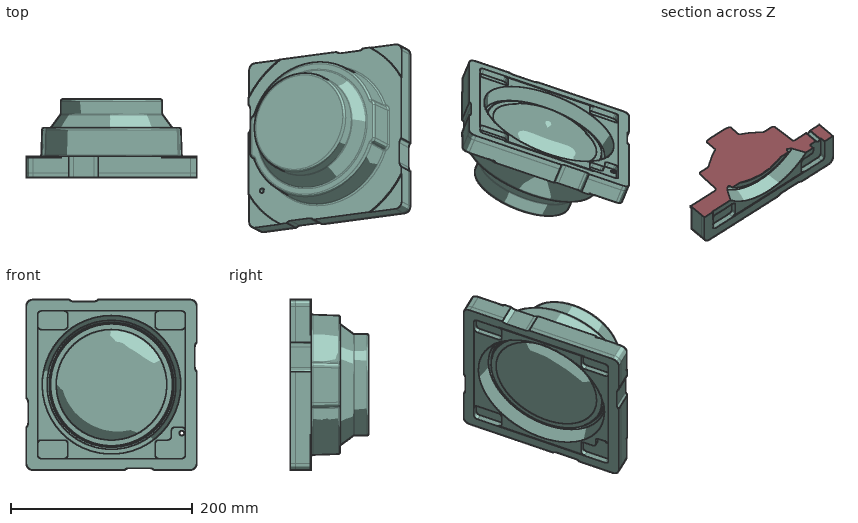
import cadquery as cq
import math


PLATE_SIDE = 188.0
PLATE_THICK = 23.3
PLATE_CORNER_R = 7.5
CORNER_STEP = 1.3
PARTING_Y = 5.5
FRONT_DRAFT = 0.5
RAISED_PAD_R = 109.0

NOTCH_OFFSET = 30.6
NOTCH_FLOOR = 22.5
NOTCH_DEPTH = 2.0
NOTCH_ARC_R = 7.0

RECESS_SIDE = 162.5
RECESS_DEPTH = 0.8
POCKET_X = 33.3
POCKET_Z = 20.5
POCKET_DEPTH = 6.5
POCKET_CORNER_R = 4.1
TAB_X = 15.5
TAB_Z = 14.1
VENT_X = 77.5
VENT_Z = -53.2
VENT_D = 5.0

BORE_MOUTH_R = 76.3
BORE_END_R = 71.0
BORE_DEPTH = 15.6
GROOVE_OUTER_R = 68.8
GROOVE_INNER_R = 67.9
GROOVE_DEPTH = 18.5

LENS_RIM_R = 67.1
LENS_R = 60.9
LENS_RIM_Y = 14.0
LENS_CREST_R = 27.3
LENS_CREST_Y = 1.0
LENS_SHOULDER_R = 43.2
LENS_SHOULDER_Y = 3.5
LENS_CENTRE_Y = 5.5

DRUM_R = 77.5
DRUM_END = 55.0
DRAFT = 2.0
LUG_REACH = 77.6
LUG_HALF = 22.7
LUG_SIDE_ANGLE = 30.0
LUG_EDGE_R = 5.6
LUG_ROOT_R = 2.5
DRUM_END_FILLET = 2.5
DRUM_ROOT_FILLET = 1.9
CONE_R = 67.0
NECK_R = 56.0
NECK_START = 70.0
NECK_FILLET = 2.5
CONE_FILLET = 1.9
TOTAL_DEPTH = 86.6


def section(y):
    """Workplane facing +Y at depth y; its coordinates are (z, x)."""
    return cq.Workplane("ZX", origin=(0, y, 0))


def turned(profile):
    """Revolve a closed (y, radius) profile, drawn in the YZ plane, around the Y axis."""
    return profile.close().revolve(360, (0, 0, 0), (1, 0, 0))


def ring_at(y):
    """Selects the edges at depth y that go round the drum, cone or neck."""
    reach = LUG_REACH + 1.9
    margin = 0.2
    low_corner = (-reach, y - margin, -reach)
    high_corner = (reach, y + margin, reach)
    return cq.selectors.BoxSelector(low_corner, high_corner, boundingbox=True)


def notch_cutter():
    """Notch for the +Z side; its floor runs into the side through concave arcs."""
    sweep = math.acos(1 - NOTCH_DEPTH / NOTCH_ARC_R)
    floor_z = PLATE_SIDE / 2 - NOTCH_DEPTH
    side_z = PLATE_SIDE / 2
    half_floor = NOTCH_FLOOR / 2
    half_mouth = half_floor + NOTCH_ARC_R * math.sin(sweep)
    mid_x = half_floor + NOTCH_ARC_R * math.sin(sweep / 2)
    mid_z = floor_z + NOTCH_ARC_R * (1 - math.cos(sweep / 2))
    outline = (
        section(0)
        .moveTo(floor_z, -half_floor - NOTCH_OFFSET)
        .lineTo(floor_z, half_floor - NOTCH_OFFSET)
        .threePointArc((mid_z, mid_x - NOTCH_OFFSET), (side_z, half_mouth - NOTCH_OFFSET))
        .lineTo(side_z, -half_mouth - NOTCH_OFFSET)
        .threePointArc((mid_z, -mid_x - NOTCH_OFFSET), (floor_z, -half_floor - NOTCH_OFFSET))
        .close()
    )
    return outline.extrude(PLATE_THICK)


def plate():
    outline = cq.Sketch().rect(PLATE_SIDE, PLATE_SIDE).vertices().fillet(PLATE_CORNER_R)
    parting = section(PARTING_Y).placeSketch(outline)
    low = parting.extrude(PLATE_THICK - CORNER_STEP - PARTING_Y)
    full = parting.extrude(PLATE_THICK - PARTING_Y)
    pad = section(PARTING_Y).circle(RAISED_PAD_R).extrude(PLATE_THICK - PARTING_Y)
    front = parting.extrude(-PARTING_Y, taper=FRONT_DRAFT)
    body = low.union(full.intersect(pad)).union(front)
    for quarter in range(4):
        body = body.cut(notch_cutter().rotate((0, 0, 0), (0, 1, 0), 90 * quarter))
    return body


def drum():
    height = DRUM_END - PLATE_THICK
    base = section(PLATE_THICK)
    half_middle = LUG_HALF + LUG_REACH * math.tan(math.radians(LUG_SIDE_ANGLE))
    lug_points = [
        (LUG_HALF, LUG_REACH),
        (half_middle, 0),
        (LUG_HALF, -LUG_REACH),
        (-LUG_HALF, -LUG_REACH),
        (-half_middle, 0),
        (-LUG_HALF, LUG_REACH),
    ]
    lugs = base.polyline(lug_points).close().extrude(height, taper=DRAFT)
    lugs = lugs.edges("not #Y").edges(">X or <X").fillet(LUG_EDGE_R)
    body = base.circle(DRUM_R).extrude(height, taper=DRAFT).union(lugs)
    body = body.edges("%PARABOLA").fillet(LUG_ROOT_R)
    return body.faces(">Y").edges().fillet(DRUM_END_FILLET)


def neck():
    profile = (
        cq.Workplane("YZ")
        .moveTo(DRUM_END, 0)
        .lineTo(DRUM_END, CONE_R)
        .lineTo(NECK_START, NECK_R)
        .lineTo(TOTAL_DEPTH, NECK_R)
        .lineTo(TOTAL_DEPTH, 0)
    )
    body = turned(profile).faces(">Y").edges().fillet(NECK_FILLET)
    return body.edges(ring_at(NECK_START)).fillet(CONE_FILLET)


def recess():
    block = section(0).rect(RECESS_SIDE, RECESS_SIDE).extrude(RECESS_DEPTH)
    return block.edges("|Y").fillet(POCKET_CORNER_R)


def corner_block(size_x, size_z, side_x, side_z):
    """Block from the front face to the pocket floor, in the corner of the recess given by two signs."""
    centre_x = side_x * (RECESS_SIDE - size_x) / 2
    centre_z = side_z * (RECESS_SIDE - size_z) / 2
    return section(0).center(centre_z, centre_x).rect(size_z, size_x).extrude(POCKET_DEPTH)


def pockets():
    """Four corner pockets; the one at +X, -Z reaches up beside the vent hole."""
    tab = corner_block(TAB_X, POCKET_Z + TAB_Z, 1, -1)
    cutter = corner_block(POCKET_X, POCKET_Z, 1, -1).union(tab)
    cutter = cutter.edges("|Y").fillet(POCKET_CORNER_R)
    for side_x, side_z in [(1, 1), (-1, 1), (-1, -1)]:
        pocket = corner_block(POCKET_X, POCKET_Z, side_x, side_z)
        cutter = cutter.union(pocket.edges("|Y").fillet(POCKET_CORNER_R))
    return cutter


def vent_hole():
    return section(0).center(VENT_Z, VENT_X).circle(VENT_D / 2).extrude(PLATE_THICK)


def bore():
    """Conical bore with a groove round the lens; its floor is the lens surface, dimpled at the centre."""
    profile = (
        cq.Workplane("YZ")
        .moveTo(0, 0)
        .lineTo(0, BORE_MOUTH_R)
        .lineTo(RECESS_DEPTH, BORE_MOUTH_R)
        .lineTo(BORE_DEPTH, BORE_END_R)
        .lineTo(GROOVE_DEPTH, GROOVE_OUTER_R)
        .lineTo(GROOVE_DEPTH, GROOVE_INNER_R)
        .lineTo(LENS_RIM_Y, LENS_RIM_R)
        .lineTo(LENS_RIM_Y, LENS_R)
        .spline(
            [
                (LENS_SHOULDER_Y, LENS_SHOULDER_R),
                (LENS_CREST_Y, LENS_CREST_R),
                (LENS_CENTRE_Y, 0),
            ],
            includeCurrent=True,
        )
    )
    return turned(profile)


housing = plate().union(drum())
housing = housing.edges(ring_at(PLATE_THICK)).fillet(DRUM_ROOT_FILLET)
housing = housing.union(neck())
cone_root = housing.edges(ring_at(DRUM_END)).edges(cq.selectors.RadiusNthSelector(0))
housing = cone_root.fillet(CONE_FILLET)

result = housing.cut(recess()).cut(pockets()).cut(vent_hole()).cut(bore())